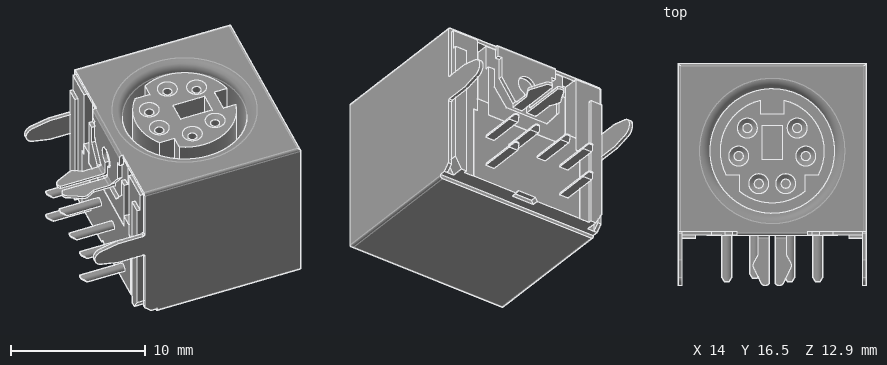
import cadquery as cq


WIDTH = 14.0
HEIGHT = 12.9
BACK_Y = 6.5
SHELL_FRONT_Y = -6.0
SHELL_WALL = 0.3
BEND_RADIUS = 0.2
BOTTOM_PLATE_FRONT_Y = -5.0
SHELL_CORNER_CHAMFER = 0.5
INNER_HALF_WIDTH = WIDTH / 2 - SHELL_WALL
INNER_TOP_Z = HEIGHT - SHELL_WALL

LUG_TIP_Y = -10.0
LUG_TAPER_Y = -8.1
LUG_ROUND_Y = -9.4
LUG_CENTER_Z = 7.45
LUG_HALF_HEIGHT = 1.0
LUG_TIP_HALF_HEIGHT = 0.7
LUG_ROOT_RADIUS = 0.1

FACE_Y = -6.25
RIB_Y = -6.5
PANEL_Y = -6.27
RECESS_Y = -5.95
RIB_INNER_X = 5.7
RIB_TOP_Z = 11.05
PANEL_HALF_WIDTH = 4.85
PANEL_TOP_Z = 6.3
BLOCK_HALF_WIDTH = 3.5
SLOT_OUTER_X = 4.5
SLOT_SPANS = [(-SLOT_OUTER_X, -BLOCK_HALF_WIDTH), (BLOCK_HALF_WIDTH, SLOT_OUTER_X)]
SLOT_FLOOR_Z = 7.35
SLOT_DEPTH = 1.3
CORNER_CUT_WIDTH = 0.55
CORNER_CUT_HEIGHT = 0.95
CORNER_CUT_DEPTH = 1.0
NOTCH_BOTTOM_HALF_WIDTH = 0.95
NOTCH_TOP_HALF_WIDTH = 0.78
NOTCH_HEIGHT = 0.3
NOTCH_DEPTH = 0.5

RECESS_HALF_WIDTH = 2.96
RECESS_FLOOR_HALF_WIDTH = 1.87
RECESS_SHOULDER_Z = 10.6
RECESS_TAPER_Z = 9.02
RECESS_BOTTOM_Z = 7.6

TONGUE_FRONT_Y = -6.28
TONGUE_HEAD_HALF_WIDTH = 2.63
TONGUE_HALF_WIDTH = 2.3
TONGUE_TOE_HALF_WIDTH = 1.05
TONGUE_HEAD_Z = 11.88
TONGUE_TAPER_Z = 10.18
TONGUE_BOTTOM_Z = 8.1
TONGUE_LEG_THICKNESS = 0.22
TONGUE_LEG_TOP_Z = TONGUE_BOTTOM_Z + TONGUE_LEG_THICKNESS
TONGUE_TAPER_END_Z = 8.42
TONGUE_BEND_RADIUS = 0.2
TONGUE_HOLE_RADIUS = 0.78
TONGUE_HOLE_Z = 10.25
TONGUE_SLOT_HALF_WIDTH = 0.22
LEG_BULGE_X = 1.42
LEG_BULGE_SHOULDER_X = 1.37
LEG_BULGE_START_Y = -7.7
LEG_BULGE_Y = -8.5
LEG_BULGE_HALF_LENGTH = 0.2
LEG_TIP_OUTER_X = 0.82
LEG_TIP_SIDE_Y = -9.85

MOUTH_RADIUS = 5.4
WELL_RADIUS = 4.63
WELL_DEPTH = 6.0
CORE_RADIUS = 3.86
KEYWAY_HALF_WIDTH = 0.89
KEYWAY_FLOOR_Y = 2.74
SHOULDER_Y = -1.8
SHOULDER_X = 2.45
KEY_HOLE_HALF_WIDTH = 0.76
KEY_HOLE_BACK_Y = 1.91
KEY_HOLE_FRONT_Y = -0.63
CONTACT_RADIUS = 0.34
CONTACT_MOUTH_RADIUS = 0.74
CONTACT_CONE_DEPTH = 0.28
CONTACT_DEPTH = 4.0
CONTACT_POSITIONS = [
    (side * x, y) for x, y in [(1.85, 1.70), (2.49, -0.38), (1.0, -2.43)] for side in (-1, 1)
]

PIN_RADIUS = 0.38
PIN_TIP_Y = -9.72
PIN_SHORT_TIP_Y = -9.47
PIN_TIP_HALF_WIDTH = 0.17
PIN_TIP_HEIGHT = 0.1
PIN_SIDE_BEVEL = 0.35
PIN_FLAT_BEVEL = 0.45
PIN_OUTER_X = 3.38
PIN_INNER_X = 1.3
PIN_UPPER_Z = 4.2
PIN_LOWER_Z = 1.7
PINS = [
    (-PIN_OUTER_X, PIN_LOWER_Z, PIN_TIP_Y),
    (PIN_OUTER_X, PIN_LOWER_Z, PIN_TIP_Y),
    (-PIN_OUTER_X, PIN_UPPER_Z, PIN_TIP_Y),
    (-PIN_INNER_X, PIN_UPPER_Z, PIN_SHORT_TIP_Y),
    (PIN_INNER_X, PIN_UPPER_Z, PIN_TIP_Y),
    (PIN_OUTER_X, PIN_UPPER_Z, PIN_TIP_Y),
]

SELECT_MARGIN = 0.01
EMBED = 0.5


def box(x0, x1, y0, y1, z0, z1):
    """Box between two opposite corners."""
    return cq.Workplane("XY").box(x1 - x0, y1 - y0, z1 - z0, centered=False).translate((x0, y0, z0))


def front_prism(outline, y_front, y_back):
    """Extrude an (x, z) outline from y_front back to y_back."""
    plane = cq.Workplane("XZ", origin=(0, y_back, 0))
    return plane.polyline(outline).close().extrude(y_back - y_front)


def mirrored_outline(half):
    """Complete a right-hand half outline with its mirror image across x = 0."""
    return half + [(-x, z) for x, z in reversed(half)]


def make_shell():
    """Folded shell, filled solid, with its long bends rounded."""
    shell = box(-WIDTH / 2, WIDTH / 2, SHELL_FRONT_Y, BACK_Y, 0, HEIGHT)
    shell = shell.edges("(>Z or <Z) and (not <Y)").fillet(BEND_RADIUS)
    shell = shell.cut(box(-WIDTH, WIDTH, SHELL_FRONT_Y, BOTTOM_PLATE_FRONT_Y, 0, SHELL_WALL))
    chamfer_outline = [
        (SHELL_FRONT_Y, SHELL_WALL),
        (SHELL_FRONT_Y + SHELL_CORNER_CHAMFER, SHELL_WALL),
        (SHELL_FRONT_Y, SHELL_WALL + SHELL_CORNER_CHAMFER),
    ]
    corners = cq.Workplane("YZ").polyline(chamfer_outline).close().extrude(WIDTH / 2, both=True)
    return shell.cut(corners)


def make_side_lug(x_min):
    """Blade running forward from a side plate, with a tapered round end."""
    root_y = SHELL_FRONT_Y + EMBED
    fillet_end_y = SHELL_FRONT_Y - LUG_ROOT_RADIUS
    top = LUG_CENTER_Z + LUG_HALF_HEIGHT
    bottom = LUG_CENTER_Z - LUG_HALF_HEIGHT
    return (
        cq.Workplane("YZ", origin=(x_min, 0, 0))
        .moveTo(root_y, bottom - LUG_ROOT_RADIUS)
        .lineTo(root_y, top + LUG_ROOT_RADIUS)
        .lineTo(SHELL_FRONT_Y, top + LUG_ROOT_RADIUS)
        .radiusArc((fillet_end_y, top), -LUG_ROOT_RADIUS)
        .lineTo(LUG_TAPER_Y, top)
        .lineTo(LUG_ROUND_Y, LUG_CENTER_Z + LUG_TIP_HALF_HEIGHT)
        .threePointArc((LUG_TIP_Y, LUG_CENTER_Z), (LUG_ROUND_Y, LUG_CENTER_Z - LUG_TIP_HALF_HEIGHT))
        .lineTo(LUG_TAPER_Y, bottom)
        .lineTo(fillet_end_y, bottom)
        .radiusArc((SHELL_FRONT_Y, bottom - LUG_ROOT_RADIUS), -LUG_ROOT_RADIUS)
        .close()
        .extrude(SHELL_WALL)
    )


def make_housing_front():
    """Front of the moulded housing: flat face, side ribs and the slightly raised pin panel."""
    inside_y = SHELL_FRONT_Y + EMBED
    front = box(-INNER_HALF_WIDTH, INNER_HALF_WIDTH, FACE_Y, inside_y, SHELL_WALL, INNER_TOP_Z)
    for x0, x1 in ((-INNER_HALF_WIDTH, -RIB_INNER_X), (RIB_INNER_X, INNER_HALF_WIDTH)):
        front = front.union(box(x0, x1, RIB_Y, inside_y, SHELL_WALL, RIB_TOP_Z))
    panel = box(-PANEL_HALF_WIDTH, PANEL_HALF_WIDTH, PANEL_Y, inside_y, SHELL_WALL, PANEL_TOP_Z)
    front = front.union(panel)
    for x0, x1 in SLOT_SPANS:
        front = front.union(box(x0, x1, PANEL_Y, inside_y, PANEL_TOP_Z, SLOT_FLOOR_Z))
    return front


def cut_housing_front(body):
    """Cut the slots, tongue recess, bottom notch and lower corners."""
    for x0, x1 in SLOT_SPANS:
        body = body.cut(box(x0, x1, FACE_Y, FACE_Y + SLOT_DEPTH, SLOT_FLOOR_Z, INNER_TOP_Z))

    recess = mirrored_outline([
        (BLOCK_HALF_WIDTH, INNER_TOP_Z),
        (BLOCK_HALF_WIDTH, RECESS_SHOULDER_Z),
        (RECESS_HALF_WIDTH, RECESS_SHOULDER_Z),
        (RECESS_HALF_WIDTH, RECESS_TAPER_Z),
        (RECESS_FLOOR_HALF_WIDTH, RECESS_BOTTOM_Z),
    ])
    body = body.cut(front_prism(recess, FACE_Y, RECESS_Y))

    notch = mirrored_outline([
        (NOTCH_TOP_HALF_WIDTH, SHELL_WALL + NOTCH_HEIGHT),
        (NOTCH_BOTTOM_HALF_WIDTH, SHELL_WALL),
    ])
    body = body.cut(front_prism(notch, PANEL_Y, PANEL_Y + NOTCH_DEPTH))

    for side in (-1, 1):
        corner = [
            (side * INNER_HALF_WIDTH, SHELL_WALL),
            (side * (INNER_HALF_WIDTH - CORNER_CUT_WIDTH), SHELL_WALL),
            (side * INNER_HALF_WIDTH, SHELL_WALL + CORNER_CUT_HEIGHT),
        ]
        body = body.cut(front_prism(corner, RIB_Y, RIB_Y + CORNER_CUT_DEPTH))
    return body


def make_tongue_leg(side):
    """One solder leg of the tongue: a flat barbed blade pointing along -Y."""
    inner_x = side * TONGUE_SLOT_HALF_WIDTH
    tip_middle_x = side * (LEG_TIP_OUTER_X + TONGUE_SLOT_HALF_WIDTH) / 2
    return (
        cq.Workplane("XY", origin=(0, 0, TONGUE_BOTTOM_Z))
        .moveTo(inner_x, RECESS_Y)
        .lineTo(side * TONGUE_TOE_HALF_WIDTH, RECESS_Y)
        .lineTo(side * TONGUE_TOE_HALF_WIDTH, LEG_BULGE_START_Y)
        .lineTo(side * LEG_BULGE_SHOULDER_X, LEG_BULGE_Y + LEG_BULGE_HALF_LENGTH)
        .threePointArc(
            (side * LEG_BULGE_X, LEG_BULGE_Y),
            (side * LEG_BULGE_SHOULDER_X, LEG_BULGE_Y - LEG_BULGE_HALF_LENGTH),
        )
        .lineTo(side * LEG_TIP_OUTER_X, LEG_TIP_SIDE_Y)
        .threePointArc((tip_middle_x, LUG_TIP_Y), (inner_x, LEG_TIP_SIDE_Y))
        .close()
        .extrude(TONGUE_LEG_THICKNESS)
    )


def make_tongue():
    """Ground tongue folded down from the top plate, slit into two forward legs."""
    outline = mirrored_outline([
        (TONGUE_HEAD_HALF_WIDTH, HEIGHT),
        (TONGUE_HEAD_HALF_WIDTH, TONGUE_HEAD_Z),
        (TONGUE_HALF_WIDTH, TONGUE_HEAD_Z),
        (TONGUE_HALF_WIDTH, TONGUE_TAPER_Z),
        (TONGUE_TOE_HALF_WIDTH, TONGUE_TAPER_END_Z),
        (TONGUE_TOE_HALF_WIDTH, TONGUE_BOTTOM_Z),
    ])
    tongue = front_prism(outline, TONGUE_FRONT_Y, RECESS_Y)
    tongue = tongue.edges(">Z and <Y").fillet(BEND_RADIUS)
    for side in (-1, 1):
        tongue = tongue.union(make_tongue_leg(side))
    hole = (
        cq.Workplane("XZ", origin=(0, RECESS_Y, TONGUE_HOLE_Z))
        .circle(TONGUE_HOLE_RADIUS)
        .extrude(RECESS_Y - TONGUE_FRONT_Y)
    )
    slit = box(
        -TONGUE_SLOT_HALF_WIDTH,
        TONGUE_SLOT_HALF_WIDTH,
        TONGUE_FRONT_Y,
        RECESS_Y,
        TONGUE_BOTTOM_Z,
        TONGUE_HOLE_Z,
    )
    tongue = tongue.cut(hole).cut(slit)
    bend = cq.selectors.BoxSelector(
        (-TONGUE_HALF_WIDTH, TONGUE_FRONT_Y - SELECT_MARGIN, TONGUE_LEG_TOP_Z - SELECT_MARGIN),
        (TONGUE_HALF_WIDTH, TONGUE_FRONT_Y + SELECT_MARGIN, TONGUE_LEG_TOP_Z + SELECT_MARGIN),
    )
    return tongue.edges(bend).fillet(TONGUE_BEND_RADIUS)


def cut_socket(body):
    """Round well with a rounded mouth, leaving the keyed core standing."""
    lip = MOUTH_RADIUS - WELL_RADIUS
    bottom = HEIGHT - WELL_DEPTH
    well = cq.Workplane("XY", origin=(0, 0, bottom)).circle(WELL_RADIUS).extrude(WELL_DEPTH)
    core = cq.Workplane("XY", origin=(0, 0, bottom)).circle(CORE_RADIUS).extrude(WELL_DEPTH)
    keyway = box(-KEYWAY_HALF_WIDTH, KEYWAY_HALF_WIDTH, KEYWAY_FLOOR_Y, CORE_RADIUS, bottom, HEIGHT)
    core = core.cut(keyway)
    for x0, x1 in ((-CORE_RADIUS, -SHOULDER_X), (SHOULDER_X, CORE_RADIUS)):
        core = core.cut(box(x0, x1, -CORE_RADIUS, SHOULDER_Y, bottom, HEIGHT))
    mouth = (
        cq.Workplane("XZ")
        .moveTo(0, HEIGHT)
        .lineTo(MOUTH_RADIUS, HEIGHT)
        .radiusArc((WELL_RADIUS, HEIGHT - lip), -lip)
        .lineTo(0, HEIGHT - lip)
        .close()
        .revolve(360, (0, 0), (0, 1))
    )
    return body.cut(well.union(mouth).cut(core))


def cut_contacts(body):
    """Key hole and the six countersunk contact holes in the core."""
    key_hole = box(
        -KEY_HOLE_HALF_WIDTH,
        KEY_HOLE_HALF_WIDTH,
        KEY_HOLE_FRONT_Y,
        KEY_HOLE_BACK_Y,
        HEIGHT - WELL_DEPTH,
        HEIGHT,
    )
    contact = (
        cq.Workplane("XZ")
        .polyline([
            (0, HEIGHT),
            (CONTACT_MOUTH_RADIUS, HEIGHT),
            (CONTACT_RADIUS, HEIGHT - CONTACT_CONE_DEPTH),
            (CONTACT_RADIUS, HEIGHT - CONTACT_DEPTH),
            (0, HEIGHT - CONTACT_DEPTH),
        ])
        .close()
        .revolve(360, (0, 0), (0, 1))
    )
    body = body.cut(key_hole)
    for x, y in CONTACT_POSITIONS:
        body = body.cut(contact.translate((x, y, 0)))
    return body


def make_pin(x, z, tip_y):
    """Half-round solder pin, bevelled at the tip on both sides and on its flat."""
    root_y = PANEL_Y + EMBED
    bar = (
        cq.Workplane("XZ", origin=(0, root_y, 0))
        .moveTo(-PIN_RADIUS, 0)
        .threePointArc((0, PIN_RADIUS), (PIN_RADIUS, 0))
        .close()
        .extrude(root_y - tip_y)
    )
    plan = [
        (PIN_RADIUS, root_y),
        (PIN_RADIUS, tip_y + PIN_SIDE_BEVEL),
        (PIN_TIP_HALF_WIDTH, tip_y),
    ]
    plan_prism = cq.Workplane("XY").polyline(mirrored_outline(plan)).close().extrude(PIN_RADIUS)
    profile = [
        (root_y, 0),
        (tip_y + PIN_FLAT_BEVEL, 0),
        (tip_y, PIN_RADIUS - PIN_TIP_HEIGHT),
        (tip_y, PIN_RADIUS),
        (root_y, PIN_RADIUS),
    ]
    profile_prism = cq.Workplane("YZ").polyline(profile).close().extrude(PIN_RADIUS, both=True)
    return bar.intersect(plan_prism).intersect(profile_prism).translate((x, 0, z))


def make_part():
    body = make_shell()
    for x_min in (-WIDTH / 2, WIDTH / 2 - SHELL_WALL):
        body = body.union(make_side_lug(x_min))
    body = body.union(make_housing_front())
    body = cut_housing_front(body)
    body = body.union(make_tongue())
    body = cut_socket(body)
    body = cut_contacts(body)
    for x, z, tip_y in PINS:
        body = body.union(make_pin(x, z, tip_y))
    return body


result = make_part()